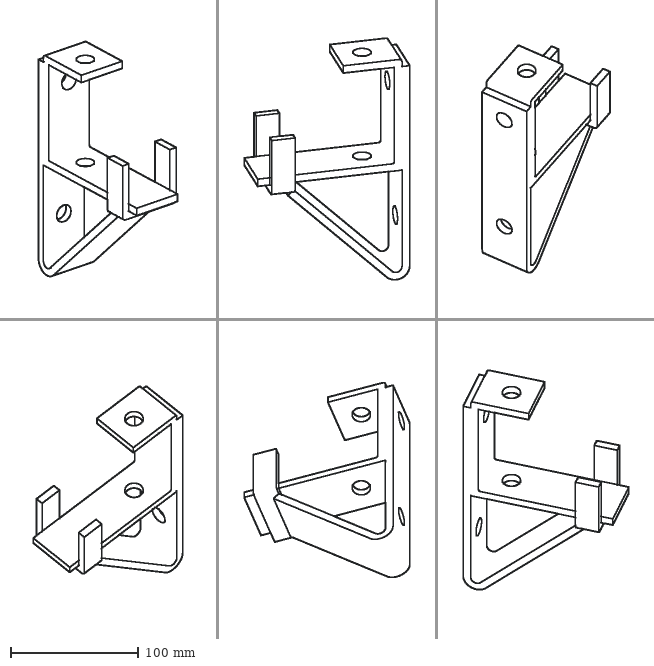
import cadquery as cq
import math

HEIGHT = 191.0
LENGTH = 123.9
STRAP_WIDTH = 41.2
CLIP_WIDTH = 54.0

THICKNESS = (CLIP_WIDTH - STRAP_WIDTH) / 2

FLANGE_LENGTH = 54.2
SHELF_TOP = 101.0
BEND_OUTER_RADIUS = 11.0
BRACE_ANGLE = math.radians(45)
FLANGE_CORNER_RADIUS = 2.3
INNER_CORNER_RADIUS = 1.5

HOLE_DIAMETER = 14.3
UPPER_HOLE_Z = 164.2
LOWER_HOLE_Z = 46.4
FLANGE_HOLE_X = 33.5

CLIP_START_X = 95.0
CLIP_LENGTH = 19.0
CLIP_TOP = 136.1
CLIP_CORNER_RADIUS = 3.0

UPRIGHT_THICKNESS = 2 * THICKNESS
STEP_Z = HEIGHT - THICKNESS
SHELF_BOTTOM = SHELF_TOP - THICKNESS
CLIP_BOTTOM = SHELF_BOTTOM - THICKNESS
BEND_INNER_RADIUS = BEND_OUTER_RADIUS - THICKNESS


def bend_point(radius, angle):
    """Point in XZ on an arc about the centre of the lower bend."""
    return (
        BEND_OUTER_RADIUS + radius * math.cos(angle),
        BEND_OUTER_RADIUS + radius * math.sin(angle),
    )


def make_profile():
    """Side outline of the bracket, with all its rounded bends."""
    start_angle = math.pi
    end_angle = 1.5 * math.pi + BRACE_ANGLE
    middle_angle = (start_angle + end_angle) / 2

    inner_tangent = bend_point(BEND_INNER_RADIUS, end_angle)
    brace_rise = CLIP_BOTTOM - inner_tangent[1]
    brace_inner_end = (inner_tangent[0] + brace_rise / math.tan(BRACE_ANGLE), CLIP_BOTTOM)
    brace_outer_end = (
        brace_inner_end[0] + THICKNESS * math.sin(BRACE_ANGLE),
        brace_inner_end[1] - THICKNESS * math.cos(BRACE_ANGLE),
    )

    return (
        cq.Workplane("XZ")
        .moveTo(0, BEND_OUTER_RADIUS)
        .lineTo(0, STEP_Z)
        .lineTo(THICKNESS, STEP_Z)
        .lineTo(THICKNESS, HEIGHT - FLANGE_CORNER_RADIUS)
        .radiusArc((THICKNESS + FLANGE_CORNER_RADIUS, HEIGHT), FLANGE_CORNER_RADIUS)
        .lineTo(FLANGE_LENGTH, HEIGHT)
        .lineTo(FLANGE_LENGTH, STEP_Z)
        .lineTo(UPRIGHT_THICKNESS, STEP_Z)
        .lineTo(UPRIGHT_THICKNESS, SHELF_TOP + INNER_CORNER_RADIUS)
        .radiusArc((UPRIGHT_THICKNESS + INNER_CORNER_RADIUS, SHELF_TOP), -INNER_CORNER_RADIUS)
        .lineTo(LENGTH, SHELF_TOP)
        .lineTo(LENGTH, SHELF_BOTTOM)
        .lineTo(THICKNESS, SHELF_BOTTOM)
        .lineTo(THICKNESS, BEND_OUTER_RADIUS)
        .threePointArc(bend_point(BEND_INNER_RADIUS, middle_angle), inner_tangent)
        .lineTo(*brace_inner_end)
        .lineTo(*brace_outer_end)
        .lineTo(*bend_point(BEND_OUTER_RADIUS, end_angle))
        .threePointArc(bend_point(BEND_OUTER_RADIUS, middle_angle), (0, BEND_OUTER_RADIUS))
        .close()
    )


def make_bracket():
    """Bent bracket with two bolt holes in the upright and one each in flange and shelf."""
    bracket = make_profile().extrude(STRAP_WIDTH / 2, both=True)

    upright_holes = (
        cq.Workplane("YZ")
        .pushPoints([(0, UPPER_HOLE_Z), (0, LOWER_HOLE_Z)])
        .circle(HOLE_DIAMETER / 2)
        .extrude(UPRIGHT_THICKNESS)
    )
    vertical_hole = (
        cq.Workplane("XY", origin=(FLANGE_HOLE_X, 0, SHELF_BOTTOM))
        .circle(HOLE_DIAMETER / 2)
        .extrude(HEIGHT - SHELF_BOTTOM)
    )
    return bracket.cut(upright_holes).cut(vertical_hole)


def make_clip():
    """U-shaped clip that hugs the underside and both edges of the shelf."""
    clip_height = CLIP_TOP - CLIP_BOTTOM
    blank = (
        cq.Workplane("XY", origin=(CLIP_START_X, 0, CLIP_BOTTOM))
        .box(CLIP_LENGTH, CLIP_WIDTH, clip_height, centered=(False, True, False))
        .edges("|X and <Z")
        .fillet(CLIP_CORNER_RADIUS)
    )
    channel = (
        cq.Workplane("XY", origin=(CLIP_START_X, 0, SHELF_BOTTOM))
        .box(CLIP_LENGTH, STRAP_WIDTH, CLIP_TOP - SHELF_BOTTOM, centered=(False, True, False))
    )
    return blank.cut(channel)


bracket = make_bracket()
clip = make_clip()
result = cq.Compound.makeCompound([bracket.val(), clip.val()])